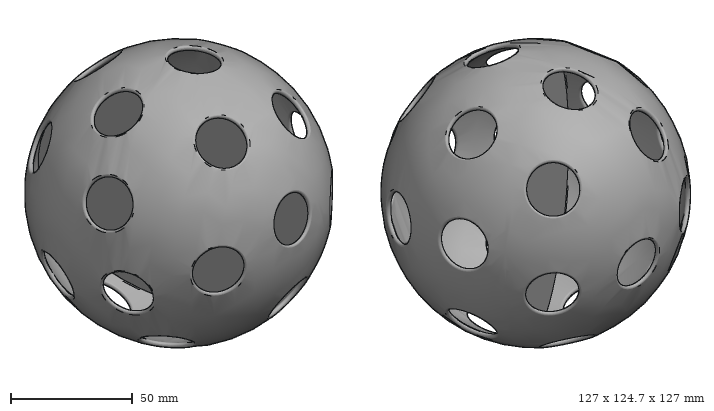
import cadquery as cq
import math

BALL_RADIUS = 63.5
WALL = 2.0
INNER_RADIUS = BALL_RADIUS - WALL

RIB_WIDTH = 3.0
RIB_HEIGHT = 1.1
RIB_TOP_FILLET = 0.6
RIB_ROOT_FILLET = 0.4
RIB_TOP_RADIUS = INNER_RADIUS - RIB_HEIGHT
MID_WALL_RADIUS = BALL_RADIUS - WALL / 2

HOLE_DIAMETER = 22.0
HOLE_RADIUS = HOLE_DIAMETER / 2
RIM_FILLET = 0.9

POLAR_RING_TILT = 37.0
POLAR_RING_COUNT = 4
EQUATOR_RING_TILT = 73.0
EQUATOR_RING_COUNT = 8
FRONT_TWIST = -20.0

X_AXIS = ((0, 0, 0), (1, 0, 0))
Y_AXIS = ((0, 0, 0), (0, 1, 0))


def solid_ball(radius):
    """Ball about the origin whose poles lie on the X axis, clear of every hole."""
    return cq.Workplane("XY").sphere(radius).rotate(*Y_AXIS, 90)


def hole_cutter(outward, tilt, turn):
    """Cylinder from the ball's centre along +Y or -Y, tilted toward +Z, then turned about Y."""
    cutter = cq.Workplane("XZ").circle(HOLE_RADIUS).extrude(-outward * 2 * BALL_RADIUS)
    return cutter.rotate(*X_AXIS, outward * tilt).rotate(*Y_AXIS, turn)


def half_cutters(outward, twist):
    """All hole cutters of the half of the ball on the +Y or -Y side."""
    cutters = [hole_cutter(outward, 0, 0)]
    for tilt, count in (
        (POLAR_RING_TILT, POLAR_RING_COUNT),
        (EQUATOR_RING_TILT, EQUATOR_RING_COUNT),
    ):
        for i in range(count):
            cutters.append(hole_cutter(outward, tilt, i * 360 / count + twist))
    return cutters


def fillet_circles(body, radius, fillet):
    """Fillet every circular edge of the given radius."""
    edges = [
        edge
        for edge in body.edges("%CIRCLE").vals()
        if math.isclose(edge.radius(), radius, rel_tol=1e-6)
    ]
    return body.newObject(edges).fillet(fillet)


ball = solid_ball(BALL_RADIUS).cut(solid_ball(INNER_RADIUS))
for hole in half_cutters(1, 0) + half_cutters(-1, FRONT_TWIST):
    ball = ball.cut(hole)

rib_side = cq.Workplane("XZ", origin=(0, RIB_WIDTH / 2, 0))
rib = rib_side.circle(MID_WALL_RADIUS).circle(RIB_TOP_RADIUS).extrude(RIB_WIDTH)
ball = ball.union(rib)

rib_root_radius = math.sqrt(INNER_RADIUS**2 - (RIB_WIDTH / 2) ** 2)
ball = fillet_circles(ball, rib_root_radius, RIB_ROOT_FILLET)
ball = fillet_circles(ball, RIB_TOP_RADIUS, RIB_TOP_FILLET)
ball = fillet_circles(ball, HOLE_RADIUS, RIM_FILLET)

result = ball